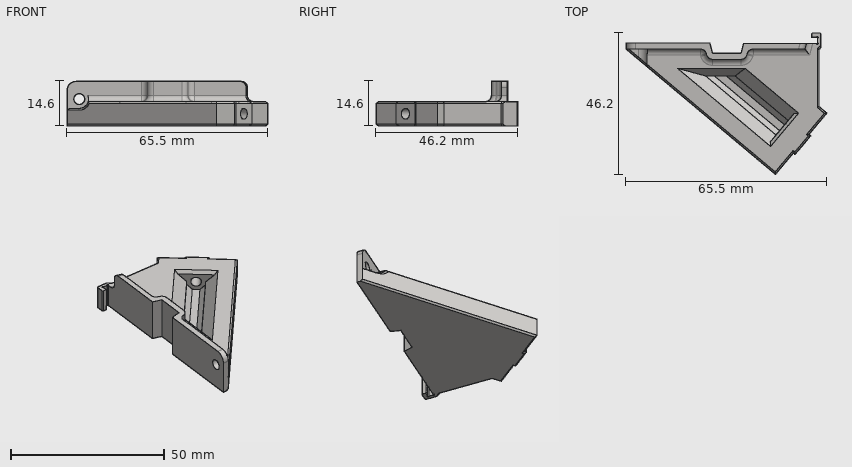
import cadquery as cq
import math

length_x = 65.5
depth_y = 46.15
height = 14.6
base_height = 8.0
wall = 2.0
slant_angle = 40.0
edge_chamfer = 0.6
root_fillet = 1.95

hook_reach = 3.3
hook_right = 63.5
hook_left = 60.5
hook_neck = 1.2
hook_lip = 1.5
hook_corner = 0.3
relief_radius = 0.25
hook_foot_y = -1.6

rear_step = 0.2
draft_angle = 15.0
notch_depth = 3.35
notch_floor_left = 28.2
notch_floor_right = 37.45
wall_end = 58.85
wall_left_radius = 3.0
wall_right_radius = 2.0
notch_fillet = 2.0

screw_x = 4.0
screw_z = 8.8
screw_diameter = 3.5
clearance_radius = 3.0

right_side_x = 62.9
boss_length = 8.0
boss_height = 0.7
end_hole_diameter = 3.5

pocket_width = 14.15
pocket_rear_y = -8.3
pocket_end_wall = 7.1
pocket_slope = 4.0
pocket_rear_inset = 2.5
pocket_end_chamfer = 1.05
pocket_step = 1.2
pocket_floor = 1.0

tolerance = 0.005

sin_slant = math.sin(math.radians(slant_angle))
cos_slant = math.cos(math.radians(slant_angle))
draft = math.tan(math.radians(draft_angle))
slant_length = (depth_y - hook_reach - wall) / sin_slant
end_width = (length_x - slant_length * cos_slant) / sin_slant
notch_left = notch_floor_left - notch_depth * draft
notch_right = notch_floor_right + (notch_depth - rear_step) * draft
slant_start = (0, -wall)
screw_floor_z = screw_z - clearance_radius
clearance_front = -wall - 3 * clearance_radius


def on_slant(along, inward):
    """Plan point at a distance along the slanted side and inward from it."""
    return (
        slant_start[0] + along * cos_slant + inward * sin_slant,
        slant_start[1] - along * sin_slant + inward * cos_slant,
    )


boss_start = (end_width - boss_length) / 2
boss_end = boss_start + boss_length
right_corner = on_slant(slant_length, end_width)
right_side_start = (
    right_side_x,
    right_corner[1] + (right_corner[0] - right_side_x) * sin_slant / cos_slant,
)
chamfered_path = [
    slant_start,
    on_slant(slant_length, 0),
    on_slant(slant_length, boss_start),
    on_slant(slant_length + boss_height, boss_start),
    on_slant(slant_length + boss_height, boss_end),
    on_slant(slant_length, boss_end),
    right_corner,
    right_side_start,
    (right_side_x, hook_foot_y - (hook_right - right_side_x)),
    (hook_right, hook_foot_y),
]
notch_path = [
    (notch_right, -rear_step),
    (notch_floor_right, -notch_depth),
    (notch_floor_left, -notch_depth),
    (notch_left, 0),
]


def box(x0, x1, y0, y1, z0, z1):
    return cq.Workplane("XY").box(x1 - x0, y1 - y0, z1 - z0, centered=False).translate((x0, y0, z0))


def along_y(diameter, y0, y1):
    cylinder = cq.Workplane("XZ", origin=(screw_x, y1, screw_z)).circle(diameter / 2)
    return cylinder.extrude(y1 - y0)


def select(solid, test):
    return solid.newObject([edge for edge in solid.edges().vals() if test(edge)])


def make_base():
    leg_x = hook_right - hook_neck
    lip_y = hook_reach - hook_lip
    hook_path = [
        (hook_right, hook_reach - hook_corner),
        (hook_right - hook_corner, hook_reach),
        (hook_left + hook_corner, hook_reach),
        (hook_left, hook_reach - hook_corner),
        (hook_left, lip_y),
        (leg_x, lip_y),
        (leg_x, -rear_step),
    ]
    outline = chamfered_path + hook_path + notch_path + [(0, 0)]
    base = cq.Workplane("XY").polyline(outline).close().extrude(base_height)
    reliefs = (
        cq.Workplane("XY")
        .pushPoints([(leg_x, lip_y), (leg_x, -rear_step)])
        .circle(relief_radius)
        .extrude(base_height)
    )
    return base.cut(reliefs)


def make_wall():
    half_draft = math.radians(90 - draft_angle) / 2
    corner_shift = wall * math.tan(half_draft)
    bulge_y = -notch_depth - wall
    bulge_left = notch_floor_left - corner_shift
    bulge_right = notch_floor_right + corner_shift
    rise = notch_depth * draft
    front_path = [
        (0, -wall),
        (bulge_left - rise, -wall),
        (bulge_left, bulge_y),
        (bulge_right, bulge_y),
        (bulge_right + rise, -wall),
        (wall_end - wall * draft, -wall),
        (wall_end - rear_step * draft, -rear_step),
    ]
    plate = cq.Workplane("XY").polyline(front_path + notch_path + [(0, 0)]).close().extrude(height)

    def at_front_bend(edge):
        middle = edge.Center()
        bend_points = front_path[1:5]
        return any(math.hypot(middle.x - x, middle.y - y) < tolerance for x, y in bend_points)

    plate = select(plate, at_front_bend).fillet(notch_fillet)
    plate = plate.faces("<X").edges(">Z").fillet(wall_left_radius)
    return plate.faces(">X").edges(">Z").fillet(wall_right_radius)


def at_wall_root(edge):
    """True for the level edges where the wall's front and right end meet the base."""
    middle = edge.Center()
    level = edge.BoundingBox().zlen < tolerance and abs(middle.z - base_height) < tolerance
    in_span = screw_x < middle.x < wall_end
    in_depth = -notch_depth - wall - tolerance < middle.y < -rear_step - tolerance
    return level and in_span and in_depth


def on_chamfered_path(edge):
    """True for lower rim edges, and upper ones except on the slanted side."""
    middle = edge.Center()
    if edge.BoundingBox().zlen > tolerance:
        return False
    path = chamfered_path if middle.z < base_height / 2 else chamfered_path[1:]
    for (x0, y0), (x1, y1) in zip(path, path[1:]):
        to_ends = math.hypot(middle.x - x0, middle.y - y0) + math.hypot(middle.x - x1, middle.y - y1)
        if to_ends - math.hypot(x1 - x0, y1 - y0) < tolerance:
            return True
    return False


def make_pocket():
    """Common part of three prisms centred on the end hole: side slopes, rear slope and end chamfer."""
    half = pocket_width / 2
    step_top = base_height - pocket_slope
    step_bottom = step_top - pocket_step
    upper_half = half - pocket_slope
    lower_half = upper_half - (step_bottom - pocket_floor)
    side_profile = [
        (-half, base_height),
        (-upper_half, step_top),
        (-upper_half, step_bottom),
        (-lower_half, pocket_floor),
        (lower_half, pocket_floor),
        (upper_half, step_bottom),
        (upper_half, step_top),
        (half, base_height),
    ]
    axis_x, axis_y = on_slant(slant_length, end_width / 2)
    end_plane = cq.Plane(
        origin=(axis_x, axis_y, 0), xDir=(sin_slant, cos_slant, 0), normal=(cos_slant, -sin_slant, 0)
    )
    sides = cq.Workplane(end_plane).polyline(side_profile).close().extrude(-slant_length)

    rear_profile = [
        (pocket_rear_y, base_height),
        (pocket_rear_y - pocket_rear_inset, step_top),
        (pocket_rear_y - pocket_rear_inset, 0),
        (-depth_y, 0),
        (-depth_y, base_height),
    ]
    rear = cq.Workplane("YZ").polyline(rear_profile).close().extrude(length_x)

    rim = -pocket_end_wall
    end_profile = [
        (rim, base_height),
        (rim - pocket_end_chamfer, base_height - pocket_end_chamfer),
        (rim - pocket_end_chamfer, 0),
        (-slant_length, 0),
        (-slant_length, base_height),
    ]
    axis_plane = cq.Plane(
        origin=(axis_x, axis_y, 0), xDir=(cos_slant, -sin_slant, 0), normal=(-sin_slant, -cos_slant, 0)
    )
    end = cq.Workplane(axis_plane).polyline(end_profile).close().extrude(pocket_width, both=True)
    return sides.intersect(rear).intersect(end)


def make_end_hole():
    """Hole through the boss into the pocket, centred on the narrow end."""
    x, y = on_slant(slant_length + boss_height, end_width / 2)
    plane = cq.Plane(
        origin=(x, y, base_height / 2), xDir=(sin_slant, cos_slant, 0), normal=(cos_slant, -sin_slant, 0)
    )
    hole_depth = boss_height + pocket_end_wall + 2 * pocket_end_chamfer
    return cq.Workplane(plane).circle(end_hole_diameter / 2).extrude(-hole_depth)


def make_clearance():
    """Room around the screw, open to the left and upwards."""
    return along_y(2 * clearance_radius, clearance_front, depth_y).union(
        box(-length_x, screw_x, clearance_front, depth_y, screw_floor_z, height)
    )


def make_slant_bevel():
    """Material that the chamfer takes off the upper rim of the slanted side."""
    corners = [
        on_slant(-clearance_radius, 0),
        on_slant(slant_length + clearance_radius, 0),
        on_slant(slant_length + clearance_radius, clearance_radius),
        on_slant(-clearance_radius, clearance_radius),
    ]
    block = cq.Workplane("XY").polyline(corners).close().extrude(base_height)
    block = block.cut(make_clearance())

    def on_rim(edge):
        middle = edge.Center()
        inward = middle.x * sin_slant + (middle.y + wall) * cos_slant
        return abs(inward) < tolerance and middle.z > screw_floor_z - tolerance

    bevel = block.cut(select(block, on_rim).chamfer(edge_chamfer))
    return bevel.cut(box(-length_x, length_x, -wall, depth_y, 0, height))


part = make_base().union(make_wall())

in_front = box(-length_x, length_x, -depth_y, -wall, 0, height)
clearance = make_clearance().intersect(in_front)
left_of_screw = box(-length_x, screw_x, -depth_y, depth_y, 0, height)
part = part.cut(clearance.intersect(left_of_screw))
part = select(part, at_wall_root).fillet(root_fillet)
part = part.cut(clearance)

part = select(part, on_chamfered_path).chamfer(edge_chamfer)
part = part.cut(make_slant_bevel())

part = part.cut(along_y(screw_diameter, -wall, 0))
part = part.cut(make_pocket())
result = part.cut(make_end_hole())